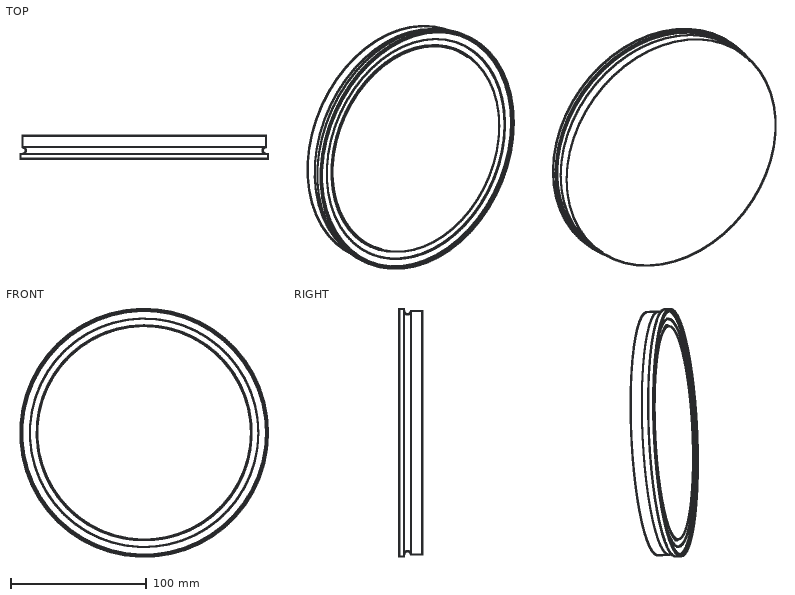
import cadquery as cq

outer_radius = 91.5
band_thickness = 1.5
disc_radius = outer_radius - band_thickness

disc_front_y = 1.5
disc_back_y = 17.2

rim_groove_width = 5.0
rim_groove_radius = rim_groove_width / 2
rim_groove_y = 6.2
band_width = rim_groove_y - rim_groove_radius

seal_section_diameter = 5.0
seal_section_radius = seal_section_diameter / 2
seal_outer_radius = 84.4
seal_center_radius = seal_outer_radius - seal_section_radius
seal_front_y = 0.5
seal_back_y = seal_front_y + seal_section_diameter
seal_groove_clearance = 0.5
seal_groove_inner_radius = seal_outer_radius - seal_section_diameter - seal_groove_clearance


def cylinder(radius, front_y, back_y):
    """Cylinder around the Y axis."""
    plane = cq.Workplane("XZ", origin=(0, front_y, 0))
    return plane.circle(radius).extrude(front_y - back_y)


def tube(outer, inner, front_y, back_y):
    """Ring of rectangular section around the Y axis."""
    return cylinder(outer, front_y, back_y).cut(cylinder(inner, front_y, back_y))


def torus(center_radius, section_radius, y):
    """Ring of circular section around the Y axis."""
    center = cq.Vector(0, y, 0)
    axis = cq.Vector(0, 1, 0)
    return cq.Workplane(cq.Solid.makeTorus(center_radius, section_radius, center, axis))


def make_disc():
    blank = cylinder(disc_radius, disc_front_y, disc_back_y)
    rim_groove = torus(disc_radius, rim_groove_radius, rim_groove_y)
    seal_groove = tube(seal_outer_radius, seal_groove_inner_radius, disc_front_y, seal_back_y)
    return blank.cut(rim_groove).cut(seal_groove)


def make_band():
    return tube(outer_radius, disc_radius, 0, band_width)


def make_seal():
    return torus(seal_center_radius, seal_section_radius, seal_front_y + seal_section_radius)


disc = make_disc()
band = make_band()
seal = make_seal()

result = cq.Compound.makeCompound([disc.solids().val(), band.solids().val(), seal.val()])